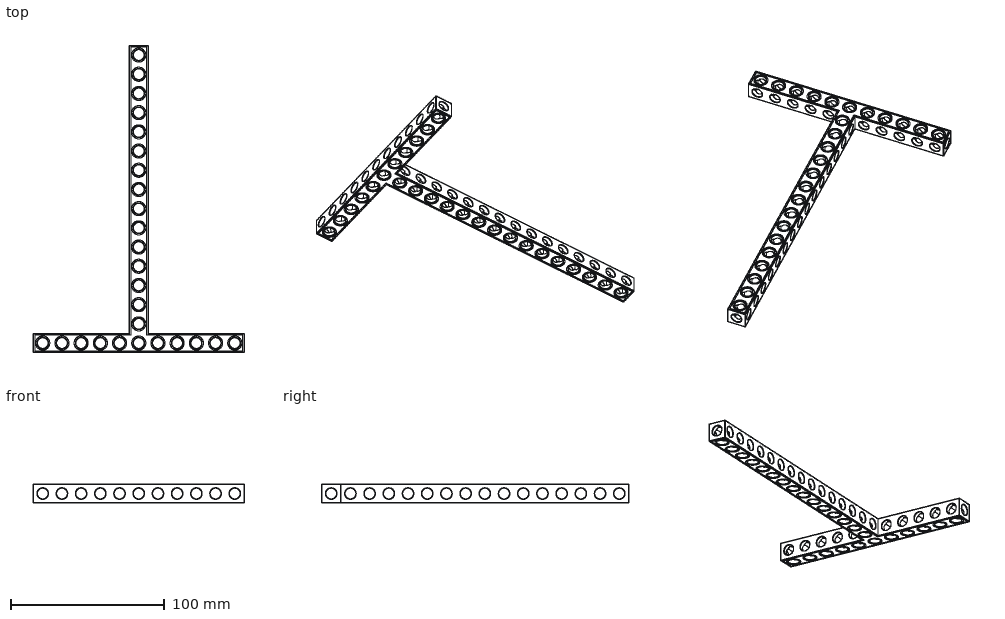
import cadquery as cq

pitch = 12.5
crossbar_holes = 11
stem_holes = 15
hole_diameter = 7.0
chamfer = 0.3
rim_width = 1.1
recess_depth = 0.2

crossbar_length = crossbar_holes * pitch
half_length = crossbar_length / 2
half = pitch / 2
stem_end = half + stem_holes * pitch
hole_radius = hole_diameter / 2
rim_radius = hole_radius + rim_width

crossbar_xs = [(i - (crossbar_holes - 1) / 2) * pitch for i in range(crossbar_holes)]
stem_ys = [i * pitch for i in range(1, stem_holes + 1)]
grid_points = [(x, 0) for x in crossbar_xs] + [(0, y) for y in stem_ys]


def chamfered_frame():
    """Crossbar along X joined to a stem along +Y that starts inside it."""
    crossbar = cq.Workplane("XY").box(crossbar_length, pitch, pitch)
    stem = cq.Workplane("XY").box(pitch, stem_end, pitch, centered=(True, False, True))
    return crossbar.edges().chamfer(chamfer).union(stem.edges().chamfer(chamfer))


def panel_cutter(floor):
    """T-shaped slab inset from the outline, with a hole left for every hole rim."""
    end_x = half_length - rim_width
    end_y = stem_end - rim_width
    side = half - rim_width
    outline = [
        (-end_x, -side),
        (end_x, -side),
        (end_x, side),
        (side, side),
        (side, end_y),
        (-side, end_y),
        (-side, side),
        (-end_x, side),
    ]
    plane = cq.Workplane("XY", origin=(0, 0, floor))
    slab = plane.polyline(outline).close().extrude(recess_depth)
    rims = plane.pushPoints(grid_points).circle(rim_radius).extrude(recess_depth)
    return slab.cut(rims)


def through_hole(start, end):
    """Cutter for a hole between two points, with a chamfered mouth at each end."""
    path = end - start
    mouth_radius = hole_radius + chamfer
    drill = cq.Solid.makeCylinder(hole_radius, path.Length, start, path)
    start_mouth = cq.Solid.makeCone(mouth_radius, hole_radius, chamfer, start, path)
    end_mouth = cq.Solid.makeCone(mouth_radius, hole_radius, chamfer, end, -path)
    return drill.fuse(start_mouth, end_mouth)


def hole_cutters():
    """Vertical holes, cross holes through the beam sides and one long bore per beam.

    The long bores also serve as the cross holes where the beams meet.
    """
    ends = [((x, y, -half), (x, y, half)) for x, y in grid_points]
    ends += [((x, -half, 0), (x, half, 0)) for x in crossbar_xs if x != 0]
    ends += [((-half, y, 0), (half, y, 0)) for y in stem_ys]
    ends.append(((-half_length, 0, 0), (half_length, 0, 0)))
    ends.append(((0, -half, 0), (0, stem_end, 0)))
    return [through_hole(cq.Vector(*start), cq.Vector(*end)) for start, end in ends]


frame = chamfered_frame()
frame = frame.cut(panel_cutter(half - recess_depth)).cut(panel_cutter(-half))
result = cq.Workplane(frame.val().cut(*hole_cutters())).solids()